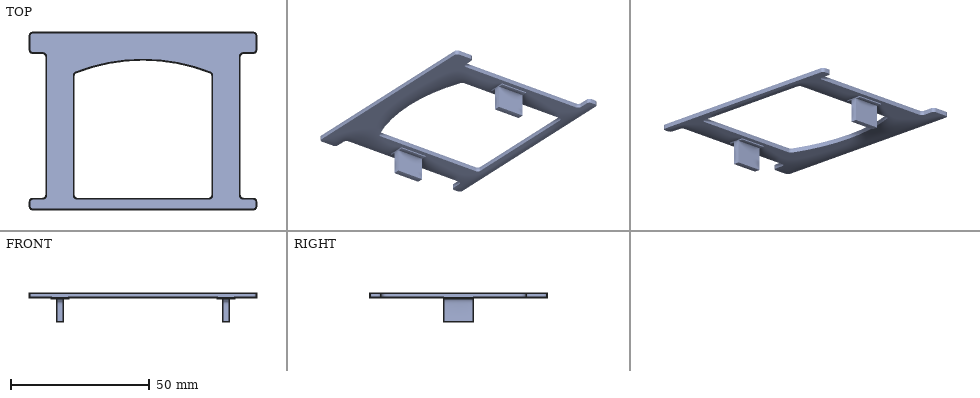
import cadquery as cq

plate_length = 82.0
plate_width = 64.0
plate_thickness = 1.6
back_bar_width = 7.5
front_bar_width = 4.0
waist_length = 70.0
corner_radius = 1.25

window_length = 50.0
window_shoulder_y = 17.2
window_crown_y = 22.1

tab_spacing = 60.0
tab_thickness = 2.4
tab_width = 10.8
tab_height = 8.4
pad_length = 6.2
pad_thickness = 0.4

half_length = plate_length / 2
half_width = plate_width / 2
half_waist = waist_length / 2
half_window = window_length / 2
back_bar_y = half_width - back_bar_width
front_bar_y = front_bar_width - half_width
tab_positions = (-tab_spacing / 2, tab_spacing / 2)


def make_window():
    """Cutter for the arched window, with all four corners rounded."""
    return (
        cq.Workplane("XY")
        .moveTo(-half_window, front_bar_y)
        .lineTo(half_window, front_bar_y)
        .lineTo(half_window, window_shoulder_y)
        .threePointArc((0, window_crown_y), (-half_window, window_shoulder_y))
        .close()
        .extrude(plate_thickness)
        .edges("|Z")
        .fillet(corner_radius)
    )


def make_hanging_block(x, top_z, length, height):
    """Block as wide as a tab, centred at the given X and reaching down from top_z."""
    block = cq.Workplane("XY").box(length, tab_width, height, centered=(True, True, False))
    return block.translate((x, 0, top_z - height))


def make_plate():
    """I-shaped plate with overhanging end bars and a pad under each side rail."""
    outline = [
        (-half_length, -half_width),
        (half_length, -half_width),
        (half_length, front_bar_y),
        (half_waist, front_bar_y),
        (half_waist, back_bar_y),
        (half_length, back_bar_y),
        (half_length, half_width),
        (-half_length, half_width),
        (-half_length, back_bar_y),
        (-half_waist, back_bar_y),
        (-half_waist, front_bar_y),
        (-half_length, front_bar_y),
    ]
    blank = cq.Workplane("XY").polyline(outline).close().extrude(plate_thickness)
    frame = blank.edges("|Z").fillet(corner_radius).cut(make_window())
    for x in tab_positions:
        frame = frame.union(make_hanging_block(x, 0, pad_length, pad_thickness))
    return frame


def make_tab(x):
    """Upright tab butting against the underside of its pad."""
    return make_hanging_block(x, -pad_thickness, tab_thickness, tab_height)


plate = make_plate()
tabs = [make_tab(x) for x in tab_positions]

result = cq.Compound.makeCompound([plate.val(), *[tab.val() for tab in tabs]])